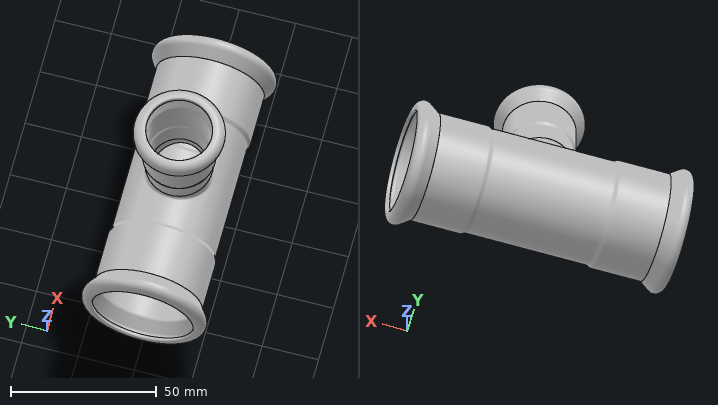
import cadquery as cq
import math


run_length = 99.0
run_outer_radius = 37.0 / 2
run_bore_radius = 34.0 / 2
run_socket_outer_radius = 38.4 / 2
run_socket_bore_radius = 35.3 / 2
run_lip_radius = 35.9 / 2
run_bead_outer_radius = 44.4 / 2
run_bead_round = 2.9
run_flare_depth = 8.1
run_socket_depth = 26.0
run_step_depth = 27.8

branch_top = 50.2
branch_outer_radius = 23.2 / 2
branch_bore_radius = 20.0 / 2
branch_socket_outer_radius = 25.3 / 2
branch_socket_bore_radius = 22.2 / 2
branch_lip_radius = 23.0 / 2
branch_bead_outer_radius = 31.7 / 2
branch_bead_round = 3.1
branch_flare_depth = 8.1
branch_socket_depth = 21.2
branch_step_depth = 22.7
branch_neck_depth = 28.6
branch_length = 30.2
branch_shoulder_radius = 12.0

joint_height = branch_top - branch_length
collar_fillet = 0.8
lip_fillet = 0.5
groove_bend_round = 1.5


def flare_angle(bead_center_radius, bead_round, end_depth, end_radius):
    """Slope from the axis of the cone touching a bead round and ending at the given point."""
    along = end_depth - bead_round
    inward = bead_center_radius - end_radius
    return math.atan2(inward, along) + math.asin(bead_round / math.hypot(along, inward))


def bead_point(bead_center_radius, bead_round, radius, angle):
    """Point on a bead circle; the angle runs from radially outward toward the tube."""
    return (bead_center_radius + radius * math.cos(angle), bead_round + radius * math.sin(angle))


def smooth_step(profile, end_radius, end_depth):
    """Add an S-shaped step that starts and ends parallel to the axis."""
    along_axis = (0, 1)
    return profile.spline([(end_radius, end_depth)], tangents=[along_axis, along_axis], includeCurrent=True)


def socket_outside(bead_outer, bead_round, socket_radius, flare_depth, socket_depth, step_radius, step_depth):
    """Open outline (radius, depth) of a socket's outside, from the axis at the mouth."""
    center = bead_outer - bead_round
    angle = flare_angle(center, bead_round, flare_depth, socket_radius)
    return smooth_step(
        cq.Workplane("XY")
        .lineTo(center, 0)
        .threePointArc(
            bead_point(center, bead_round, bead_round, (angle - math.pi / 2) / 2),
            bead_point(center, bead_round, bead_round, angle),
        )
        .lineTo(socket_radius, flare_depth)
        .lineTo(socket_radius, socket_depth),
        step_radius,
        step_depth,
    )


def socket_inside(bead_outer, bead_round, wall, lip_radius, bore_radius, flare_depth, socket_depth,
                  step_radius, step_depth):
    """Open outline (radius, depth) of a socket's cavity, with a seal groove inside the bead."""
    center = bead_outer - bead_round
    groove_round = bead_round - wall
    angle = flare_angle(center, bead_round, flare_depth, bore_radius + wall)
    flank_start = bead_point(center, bead_round, groove_round, angle)
    flank_end_depth = flank_start[1] + (flank_start[0] - bore_radius) / math.tan(angle)
    bend_length = groove_bend_round * math.tan(angle / 2)
    bend_start = (bore_radius + bend_length * math.sin(angle), flank_end_depth - bend_length * math.cos(angle))
    bend_end = (bore_radius, flank_end_depth + bend_length)
    return smooth_step(
        cq.Workplane("XY")
        .lineTo(lip_radius + lip_fillet, 0)
        .radiusArc((lip_radius, lip_fillet), lip_fillet)
        .lineTo(lip_radius, wall - lip_fillet)
        .tangentArcPoint((lip_fillet, lip_fillet))
        .lineTo(center, wall)
        .threePointArc(bead_point(center, bead_round, groove_round, (angle - math.pi / 2) / 2), flank_start)
        .lineTo(*bend_start)
        .tangentArcPoint(bend_end, relative=False)
        .lineTo(bore_radius, socket_depth),
        step_radius,
        step_depth,
    )


def revolve_outline(outline, end_depth):
    """Close an outline back to the axis at the end depth and revolve it about that axis."""
    return outline.lineTo(0, end_depth).close().revolve(360, (0, 0), (0, 1))


def mirrored_run(outline):
    """Solid of revolution from the -X mouth to mid-length, plus its mirror image."""
    radius = outline.val().endPoint().x
    half = revolve_outline(outline.lineTo(radius, run_length / 2), run_length / 2)
    half = half.rotate((0, 0, 0), (0, 0, 1), -90).translate((-run_length / 2, 0, 0))
    return half.union(half.mirror("YZ"))


def make_tee():
    """Run tube with two sockets and the short branch collar."""
    outside = mirrored_run(socket_outside(
        run_bead_outer_radius, run_bead_round, run_socket_outer_radius, run_flare_depth,
        run_socket_depth, run_outer_radius, run_step_depth,
    ))
    cavity = mirrored_run(socket_inside(
        run_bead_outer_radius, run_bead_round, run_socket_outer_radius - run_socket_bore_radius,
        run_lip_radius, run_socket_bore_radius, run_flare_depth,
        run_socket_depth, run_bore_radius, run_step_depth,
    ))
    collar = cq.Workplane("XY").circle(branch_outer_radius).extrude(joint_height)
    collar_bore = cq.Workplane("XY").circle(branch_bore_radius).extrude(joint_height)
    half_width = branch_outer_radius + collar_fillet
    seam_zone = cq.selectors.BoxSelector(
        (-half_width, -half_width, run_bore_radius / 2),
        (half_width, half_width, joint_height - collar_fillet / 2),
    )
    return outside.union(collar).edges(seam_zone).fillet(collar_fillet).cut(cavity).cut(collar_bore)


def make_branch():
    """Branch socket with a tapered neck, mouth upward."""
    wall = branch_outer_radius - branch_bore_radius
    outside = socket_outside(
        branch_bead_outer_radius, branch_bead_round, branch_socket_outer_radius, branch_flare_depth,
        branch_socket_depth, branch_shoulder_radius, branch_step_depth,
    )
    cavity = socket_inside(
        branch_bead_outer_radius, branch_bead_round, wall, branch_lip_radius, branch_socket_bore_radius,
        branch_flare_depth, branch_socket_depth, branch_shoulder_radius - wall, branch_step_depth,
    )
    outside = outside.lineTo(branch_outer_radius, branch_neck_depth).lineTo(branch_outer_radius, branch_length)
    cavity = cavity.lineTo(branch_bore_radius, branch_neck_depth).lineTo(branch_bore_radius, branch_length)
    body = revolve_outline(outside, branch_length).cut(revolve_outline(cavity, branch_length))
    return body.rotate((0, 0, 0), (1, 0, 0), -90).translate((0, 0, branch_top))


tee = make_tee()
branch = make_branch()

result = cq.Compound.makeCompound([tee.solids().val(), branch.solids().val()])